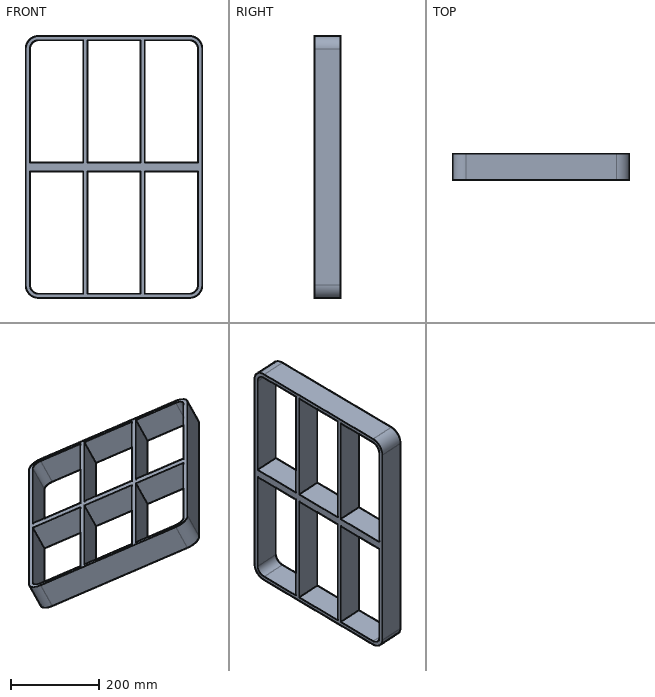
import cadquery as cq

width = 402.0
depth = 60.0
height = 596.0
wall = 10.0
corner_radius = 30.0
divider = 10.0
crossbar = 21.0
columns = 3
rows = 2

inner_width = width - 2 * wall
inner_height = height - 2 * wall
window_width = (inner_width - (columns - 1) * divider) / columns
window_height = (inner_height - (rows - 1) * crossbar) / rows


def upright_block(x_size, z_size):
    """Block centred on the origin, running through the frame depth along Y."""
    return cq.Workplane("XY").box(x_size, depth, z_size)


outer = upright_block(width, height).edges("|Y").fillet(corner_radius)
opening = upright_block(inner_width, inner_height).edges("|Y").fillet(corner_radius - wall)
frame = outer.cut(opening)

for index in range(1, columns):
    x = -inner_width / 2 + index * (window_width + divider) - divider / 2
    frame = frame.union(upright_block(divider, inner_height).translate((x, 0, 0)))

for index in range(1, rows):
    z = -inner_height / 2 + index * (window_height + crossbar) - crossbar / 2
    frame = frame.union(upright_block(inner_width, crossbar).translate((0, 0, z)))

result = frame